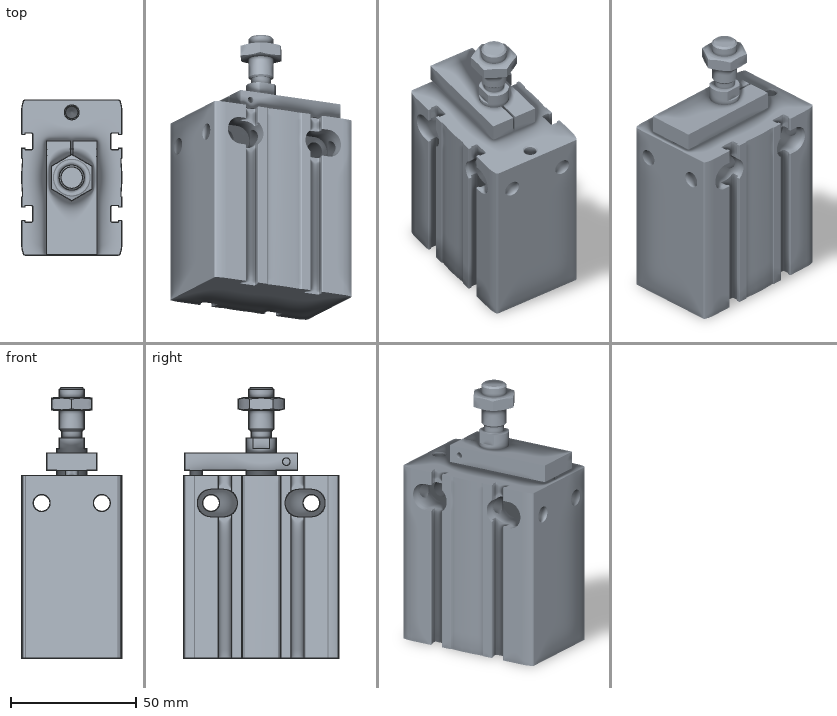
import cadquery as cq
import math


HOUSING_LENGTH = 73.0
HALF_WIDTH = 20.0
HALF_DEPTH = 31.0
CORNER_ARC_RADIUS = 11.1
CORNER_ARC_START = 26.6
CORNER_FILLET = 1.0

SLOT_CENTER = 14.45
SLOT_OPENING = 5.3
SLOT_INNER_WIDTH = 6.6
SLOT_DEPTH = 4.4
LIP_THICKNESS = 1.4
NEAR_LIP_FILLET = 0.2
FAR_LIP_FILLET = 0.4
SLOT_FLOOR_FILLET = 0.5

RECESS_HALF_WIDTH = 7.8
RECESS_STEP = 0.3
CROWN_HALF_WIDTH = 6.8
CROWN_HEIGHT = 0.35

MOUNT_HOLE_DIAMETER = 6.6
MOUNT_HOLE_DROP = 11.0
CROSS_HOLE_Y = 20.0
LENGTH_HOLE_X = 12.0
POCKET_DIAMETER = 11.0
POCKET_TRAVEL = 5.0
POCKET_DEPTH = 12.0

PORT_Y = 26.0
PORT_DIAMETER = 4.92
PORT_MOUTH_DIAMETER = 5.9
PORT_DEPTH = 10.0
DRILL_POINT_ANGLE = 118.0

GUIDE_RECESS_DIAMETER = 7.0
GUIDE_RECESS_DEPTH = 0.2

ROD_DIAMETER = 12.0
ROD_SHOULDER = 15.0
FLAT_WIDTH = 10.0
FLAT_BOTTOM = 10.7
NECK_DIAMETER = 8.0
NECK_FILLET = 0.3
THREAD_DIAMETER = 10.0
THREAD_ROOT_DIAMETER = 8.57
THREAD_BOTTOM = 17.8
ROD_TOP = 35.0

NUT_FLATS = 16.0
NUT_THICKNESS = 5.0
NUT_BOTTOM = 26.0
NUT_FACE_DIAMETER = 14.6
NUT_CHAMFER_ANGLE = 15.0

PLATE_WIDTH = 20.0
PLATE_THICKNESS = 7.0
PLATE_GAP = 2.0
PLATE_BACK = 14.5
PLATE_FRONT = -30.6
SLIT_WIDTH = 1.0
GUIDE_PIN_DIAMETER = 5.0
GUIDE_PIN_Y = -PORT_Y
GUIDE_INSERTION = 10.0
SCREW_DIAMETER = 3.0
SCREW_Y = 10.0
SCREW_TIP_INSET = 3.0
SCREW_HOLE_DIAMETER = 2.46

PLATE_BOTTOM = HOUSING_LENGTH + PLATE_GAP
SCREW_Z = PLATE_BOTTOM + PLATE_THICKNESS / 2


def cylinder_x(diameter, x_start, x_end, y, z):
    """Cylinder along X."""
    plane = cq.Workplane("YZ", origin=(x_start, y, z))
    return plane.circle(diameter / 2).extrude(x_end - x_start)


def housing_quarter():
    """Extruded quarter of the housing section, from the axis to its +X +Y corner."""
    crown_radius = (CROWN_HALF_WIDTH**2 + CROWN_HEIGHT**2) / (2 * CROWN_HEIGHT)
    crown_mid_y = CROWN_HALF_WIDTH / 2
    crown_mid_drop = crown_radius - math.sqrt(crown_radius**2 - crown_mid_y**2)

    lip_near = SLOT_CENTER - SLOT_OPENING / 2
    lip_far = SLOT_CENTER + SLOT_OPENING / 2
    inner_near = SLOT_CENTER - SLOT_INNER_WIDTH / 2
    inner_far = SLOT_CENTER + SLOT_INNER_WIDTH / 2
    lip_x = HALF_WIDTH - LIP_THICKNESS
    floor_x = HALF_WIDTH - SLOT_DEPTH

    def corner_arc_x(y):
        rise = y - CORNER_ARC_START
        return HALF_WIDTH - CORNER_ARC_RADIUS + math.sqrt(CORNER_ARC_RADIUS**2 - rise**2)

    corner_x = corner_arc_x(HALF_DEPTH)
    corner_mid_y = (CORNER_ARC_START + HALF_DEPTH) / 2

    quarter = (
        cq.Workplane("XY")
        .lineTo(HALF_WIDTH, 0)
        .threePointArc(
            (HALF_WIDTH - crown_mid_drop, crown_mid_y),
            (HALF_WIDTH - CROWN_HEIGHT, CROWN_HALF_WIDTH),
        )
        .lineTo(HALF_WIDTH - RECESS_STEP, RECESS_HALF_WIDTH - RECESS_STEP)
        .lineTo(HALF_WIDTH, RECESS_HALF_WIDTH)
        .lineTo(HALF_WIDTH, lip_near)
        .lineTo(lip_x, lip_near)
        .lineTo(lip_x, inner_near)
        .lineTo(floor_x, inner_near)
        .lineTo(floor_x, inner_far)
        .lineTo(lip_x, inner_far)
        .lineTo(lip_x, lip_far)
        .lineTo(HALF_WIDTH, lip_far)
        .lineTo(HALF_WIDTH, CORNER_ARC_START)
        .threePointArc((corner_arc_x(corner_mid_y), corner_mid_y), (corner_x, HALF_DEPTH))
        .lineTo(0, HALF_DEPTH)
        .close()
        .extrude(HOUSING_LENGTH)
    )
    rounded_edges = (
        (corner_x, HALF_DEPTH, CORNER_FILLET),
        (HALF_WIDTH, lip_near, NEAR_LIP_FILLET),
        (HALF_WIDTH, lip_far, FAR_LIP_FILLET),
        (lip_x, lip_far, FAR_LIP_FILLET),
        (floor_x, inner_near, SLOT_FLOOR_FILLET),
        (floor_x, inner_far, SLOT_FLOOR_FILLET),
    )
    for x, y, radius in rounded_edges:
        edge = cq.selectors.NearestToPointSelector((x, y, HOUSING_LENGTH / 2))
        quarter = quarter.edges("|Z").edges(edge).fillet(radius)
    return quarter


def port_hole():
    """Blind drilled hole with a countersunk mouth and a conical bottom."""
    radius = PORT_DIAMETER / 2
    mouth_radius = PORT_MOUTH_DIAMETER / 2
    point_length = radius / math.tan(math.radians(DRILL_POINT_ANGLE / 2))
    return (
        cq.Workplane("XZ", origin=(0, PORT_Y, HOUSING_LENGTH))
        .lineTo(mouth_radius, 0)
        .lineTo(radius, radius - mouth_radius)
        .lineTo(radius, -PORT_DEPTH)
        .lineTo(0, -PORT_DEPTH - point_length)
        .close()
        .revolve(360, (0, 0), (0, 1))
    )


def make_housing():
    quarter = housing_quarter()
    half = quarter.union(quarter.mirror("YZ"))
    housing = half.union(half.mirror("XZ")).clean()

    hole_z = HOUSING_LENGTH - MOUNT_HOLE_DROP
    pocket_y = CROSS_HOLE_Y - POCKET_TRAVEL / 2
    for side in (-1, 1):
        cross_hole = cylinder_x(MOUNT_HOLE_DIAMETER, -HALF_WIDTH, HALF_WIDTH, side * CROSS_HOLE_Y, hole_z)
        length_hole = (
            cq.Workplane("XZ", origin=(side * LENGTH_HOLE_X, HALF_DEPTH, hole_z))
            .circle(MOUNT_HOLE_DIAMETER / 2)
            .extrude(2 * HALF_DEPTH)
        )
        pocket = (
            cq.Workplane("YZ", origin=(HALF_WIDTH - POCKET_DEPTH, side * pocket_y, hole_z))
            .slot2D(POCKET_DIAMETER + POCKET_TRAVEL, POCKET_DIAMETER)
            .extrude(POCKET_DEPTH)
        )
        housing = housing.cut(cross_hole).cut(length_hole).cut(pocket).cut(pocket.mirror("YZ"))
    guide_mouth = cq.Workplane("XY", origin=(0, GUIDE_PIN_Y, HOUSING_LENGTH))
    guide_bore = guide_mouth.circle(GUIDE_PIN_DIAMETER / 2).extrude(-GUIDE_INSERTION)
    guide_recess = guide_mouth.circle(GUIDE_RECESS_DIAMETER / 2).extrude(-GUIDE_RECESS_DEPTH)
    return housing.cut(port_hole()).cut(guide_bore).cut(guide_recess)


def make_piston_rod():
    """Turned rod with two wrench flats, a neck and a threaded end."""
    rod_radius = ROD_DIAMETER / 2
    neck_radius = NECK_DIAMETER / 2
    thread_radius = THREAD_DIAMETER / 2
    root_radius = THREAD_ROOT_DIAMETER / 2
    chamfer = thread_radius - root_radius
    fillet_middle = NECK_FILLET * (1 - math.sqrt(0.5))
    rod = (
        cq.Workplane("XZ", origin=(0, 0, HOUSING_LENGTH))
        .lineTo(rod_radius, 0)
        .lineTo(rod_radius, ROD_SHOULDER)
        .lineTo(neck_radius + NECK_FILLET, ROD_SHOULDER)
        .threePointArc(
            (neck_radius + fillet_middle, ROD_SHOULDER + fillet_middle),
            (neck_radius, ROD_SHOULDER + NECK_FILLET),
        )
        .lineTo(neck_radius, THREAD_BOTTOM)
        .lineTo(root_radius, THREAD_BOTTOM)
        .lineTo(thread_radius, THREAD_BOTTOM + chamfer)
        .lineTo(thread_radius, ROD_TOP - chamfer)
        .lineTo(root_radius, ROD_TOP)
        .lineTo(0, ROD_TOP)
        .close()
        .revolve(360, (0, 0), (0, 1))
    )
    flat_length = ROD_SHOULDER - FLAT_BOTTOM
    flat_cut_depth = (ROD_DIAMETER - FLAT_WIDTH) / 2
    for side in (-1, 1):
        flat_cut = (
            cq.Workplane("XY", origin=(0, 0, HOUSING_LENGTH + FLAT_BOTTOM))
            .center(side * (FLAT_WIDTH + flat_cut_depth) / 2, 0)
            .rect(flat_cut_depth, ROD_DIAMETER)
            .extrude(flat_length)
        )
        rod = rod.cut(flat_cut)
    return rod


def make_nut():
    """Hexagon nut with corners on the Y axis, chamfered on both faces."""
    corner_diameter = NUT_FLATS / math.cos(math.radians(30))
    corner_radius = corner_diameter / 2
    face_radius = NUT_FACE_DIAMETER / 2
    chamfer_drop = (corner_radius - face_radius) * math.tan(math.radians(NUT_CHAMFER_ANGLE))
    base = cq.Workplane("XY", origin=(0, 0, HOUSING_LENGTH + NUT_BOTTOM))
    hexagon = base.transformed(rotate=(0, 0, 90)).polygon(6, corner_diameter).extrude(NUT_THICKNESS)
    chamfer_envelope = (
        cq.Workplane("XZ", origin=(0, 0, HOUSING_LENGTH + NUT_BOTTOM))
        .lineTo(face_radius, 0)
        .lineTo(corner_radius, chamfer_drop)
        .lineTo(corner_radius, NUT_THICKNESS - chamfer_drop)
        .lineTo(face_radius, NUT_THICKNESS)
        .lineTo(0, NUT_THICKNESS)
        .close()
        .revolve(360, (0, 0), (0, 1))
    )
    bore = base.circle(THREAD_DIAMETER / 2).extrude(NUT_THICKNESS)
    return hexagon.intersect(chamfer_envelope).cut(bore)


def make_screw():
    """Clamp screw across the plate's slit, flush with the plate's +X face."""
    return cylinder_x(
        SCREW_DIAMETER, SCREW_TIP_INSET - PLATE_WIDTH / 2, PLATE_WIDTH / 2, SCREW_Y, SCREW_Z
    )


def make_guide_plate(screw):
    """Plate clamped on the rod, with its guide pin reaching down into the housing."""
    base = cq.Workplane("XY", origin=(0, 0, PLATE_BOTTOM))
    plate = (
        base.center(0, (PLATE_BACK + PLATE_FRONT) / 2)
        .rect(PLATE_WIDTH, PLATE_BACK - PLATE_FRONT)
        .extrude(PLATE_THICKNESS)
    )
    rod_bore = base.circle(ROD_DIAMETER / 2).extrude(PLATE_THICKNESS)
    slit = base.center(0, PLATE_BACK / 2).rect(SLIT_WIDTH, PLATE_BACK).extrude(PLATE_THICKNESS)
    screw_hole = cylinder_x(SCREW_HOLE_DIAMETER, -PLATE_WIDTH / 2, 0, SCREW_Y, SCREW_Z)
    pin_length = PLATE_GAP + GUIDE_INSERTION
    guide_pin = base.center(0, GUIDE_PIN_Y).circle(GUIDE_PIN_DIAMETER / 2).extrude(-pin_length)
    return plate.cut(rod_bore).cut(slit).cut(screw_hole).cut(screw).union(guide_pin)


housing = make_housing()
piston_rod = make_piston_rod()
nut = make_nut()
screw = make_screw()
guide_plate = make_guide_plate(screw)

result = cq.Compound.makeCompound(
    [housing.val(), piston_rod.val(), nut.val(), screw.val(), guide_plate.val()]
)